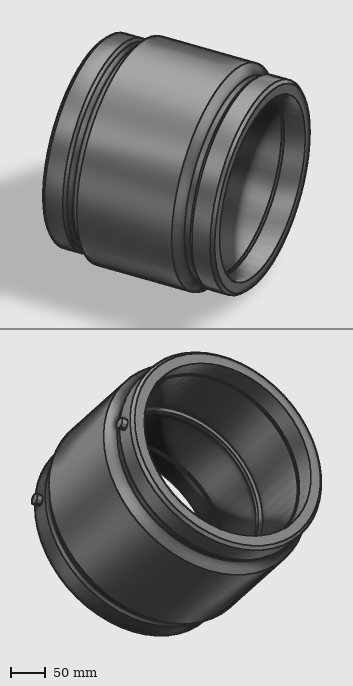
import cadquery as cq

length = 275.0
body_diameter = 342
land_diameter = 321.5
groove_diameter = 312.0

chamfer_width = 5.0
land_end = 34.2
groove_start = 39.0
groove_end = 48.5
body_start = 61.5

bore_diameter = 280.0
rib_diameter = 266.0
rib_width = 7.0
bore_groove_width = 4.0
bore_groove_depth = 1.0
bore_groove_offset = 101.5

stud_diameter = 16.0
stud_top = 169.5
stud_root = 157.3
stud_offset = length / 2 - (chamfer_width + land_end) / 2


def make_sleeve():
    """Revolve the stepped outer outline, symmetric about mid-length."""
    body_radius = body_diameter / 2
    land_radius = land_diameter / 2
    groove_radius = groove_diameter / 2
    left_outline = [
        (0, groove_radius),
        (chamfer_width, land_radius),
        (land_end, land_radius),
        (groove_start, groove_radius),
        (groove_end, groove_radius),
        (body_start, body_radius),
    ]
    left = [(depth - length / 2, radius) for depth, radius in left_outline]
    right = [(-x, radius) for x, radius in reversed(left)]
    outline = [(-length / 2, 0)] + left + right + [(length / 2, 0)]
    return cq.Workplane("XY").polyline(outline).close().revolve(360, (0, 0, 0), (1, 0, 0))


def make_disc(diameter, width, x):
    """Disc on the sleeve axis, centred at x."""
    start = cq.Workplane("YZ").workplane(offset=x - width / 2)
    return start.circle(diameter / 2).extrude(width)


def make_bore():
    """Cutter for the bore that leaves the central rib and includes both grooves."""
    cutter = make_disc(rib_diameter, length, 0)
    side_width = (length - rib_width) / 2
    side_centre = (length + rib_width) / 4
    bore_groove_diameter = bore_diameter + 2 * bore_groove_depth
    for side in (-1, 1):
        cutter = cutter.union(make_disc(bore_diameter, side_width, side * side_centre))
        groove = make_disc(bore_groove_diameter, bore_groove_width, side * bore_groove_offset)
        cutter = cutter.union(groove)
    return cutter


def make_stud(x):
    """Round stud pointing along +Y, rooted inside the land."""
    plane = cq.Plane(origin=(x, stud_root, 0), xDir=(1, 0, 0), normal=(0, 1, 0))
    return cq.Workplane(plane).circle(stud_diameter / 2).extrude(stud_top - stud_root)


result = make_sleeve().cut(make_bore())
for side in (-1, 1):
    result = result.union(make_stud(side * stud_offset))